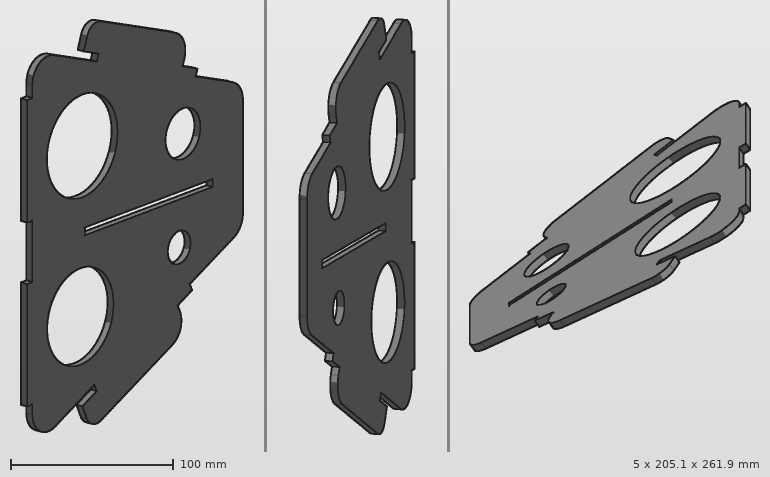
import cadquery as cq
import math


thickness = 5.0
fit_clearance = 0.05
slot_width = thickness + fit_clearance

body_length = 200.0
base_half_height = 130.0
upper_slope = 20.0
lower_slope = 25.0
base_corner_radius = 15.0
far_corner_radius = 15.0

tab_length = 80.0
tab_gap = 40.0
tab_depth = slot_width

flange_start = 65.0
flange_length = 100.0
flange_height = 20.0
hook_overhang = 15.0
hook_tip_radius = 10.0
flange_heel_radius = 15.0

long_slot_length = 121.0
long_slot_start = 50.0

round_holes = [
    (47.4, 56.4, 67.0),
    (45.6, -54.4, 63.0),
    (143.0, 39.5, 33.0),
    (139.4, -33.7, 21.5),
]


def extrude_plate(outline):
    """Extrude a closed YZ outline through the plate, centred on X = 0."""
    return outline.extrude(thickness / 2, both=True)


def polygon_plate(points):
    return extrude_plate(cq.Workplane("YZ").polyline(points).close())


def edge_at(y, z):
    """Select the edge along X that passes through the given outline corner."""
    reach = 0.01
    return cq.selectors.BoxSelector((-reach, y - reach, z - reach), (reach, y + reach, z + reach))


def slope_point(side, slope, along, outward):
    """Point measured along and out from a sloping edge, starting at its base corner.

    side is +1 for the upper edge and -1 for the lower edge.
    """
    angle = math.radians(slope)
    y = along * math.cos(angle) + outward * math.sin(angle)
    z = base_half_height - along * math.sin(angle) + outward * math.cos(angle)
    return (y, side * z)


def make_body():
    upper_far_z = base_half_height - body_length * math.tan(math.radians(upper_slope))
    lower_far_z = -base_half_height + body_length * math.tan(math.radians(lower_slope))
    base_corners = [(0, -base_half_height), (0, base_half_height)]
    far_corners = [(body_length, upper_far_z), (body_length, lower_far_z)]
    body = polygon_plate(base_corners + far_corners)
    for corner in base_corners:
        body = body.edges(edge_at(*corner)).fillet(base_corner_radius)
    for corner in far_corners:
        body = body.edges(edge_at(*corner)).fillet(far_corner_radius)
    return body


def make_tab(side):
    middle_z = side * (tab_gap + tab_length) / 2
    return extrude_plate(
        cq.Workplane("YZ").center(-tab_depth / 2, middle_z).rect(tab_depth, tab_length)
    )


def make_flange(side, slope):
    """Flange on a neck, shifted toward the base so that it overhangs as a hook."""
    neck_end = flange_start + flange_length
    hook_tip = flange_start - hook_overhang
    heel = neck_end - hook_overhang
    top = slot_width + flange_height
    profile = [
        (flange_start, 0),
        (flange_start, slot_width),
        (hook_tip, slot_width),
        (hook_tip, top),
        (heel, top),
        (heel, slot_width),
        (neck_end, slot_width),
        (neck_end, 0),
    ]
    flange = polygon_plate([slope_point(side, slope, *point) for point in profile])
    flange = flange.edges(edge_at(*slope_point(side, slope, hook_tip, top))).fillet(hook_tip_radius)
    return flange.edges(edge_at(*slope_point(side, slope, heel, top))).fillet(flange_heel_radius)


def make_openings():
    long_slot_middle = long_slot_start + long_slot_length / 2
    openings = extrude_plate(
        cq.Workplane("YZ").center(long_slot_middle, 0).rect(long_slot_length, slot_width)
    )
    for y, z, diameter in round_holes:
        openings = openings.add(extrude_plate(cq.Workplane("YZ").center(y, z).circle(diameter / 2)))
    return openings.combine()


result = make_body()
for side, slope in [(1, upper_slope), (-1, lower_slope)]:
    result = result.union(make_tab(side)).union(make_flange(side, slope))
result = result.cut(make_openings())